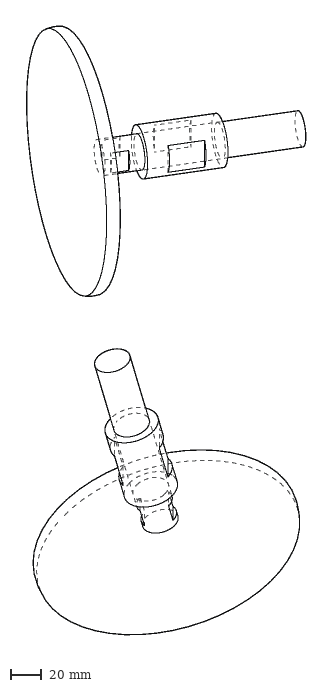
import cadquery as cq
import math


disc_radius = 89.0
underside_radius = 88.3
taper_height = 4.5
band_height = 7.1
rim_round = 2.8
cone_top = 22.6

spindle_diameter = 24.0
spindle_end = 160.0
spindle_flat_start = 27.0
spindle_flat_length = 12.5
spindle_across_flats = 19.0

sleeve_diameter = 36.0
sleeve_start = 49.8
sleeve_length = 55.0
sleeve_flat_length = 25.0
sleeve_across_flats = 30.0
sleeve_flat_start = sleeve_start + (sleeve_length - sleeve_flat_length) / 2


def cylinder(diameter, start, length):
    """Cylinder around the Y axis, running from start towards +Y."""
    plane = cq.Plane(origin=(0, start, 0), xDir=(1, 0, 0), normal=(0, 1, 0))
    return cq.Workplane(plane).circle(diameter / 2).extrude(length)


def cut_wrench_flats(body, diameter, across_flats, start, length):
    """Cut two opposite flats, facing -X and +X, into a round body."""
    for side in (-1, 1):
        cutter = cq.Workplane("XY").box(diameter, length, 2 * diameter)
        center_x = side * (across_flats + diameter) / 2
        body = body.cut(cutter.translate((center_x, start + length / 2, 0)))
    return body


def make_foot():
    """Conical disc and spindle in one piece."""
    spindle_radius = spindle_diameter / 2
    cone_edge_radius = disc_radius - rim_round
    cone_edge_height = band_height + rim_round
    round_middle = (
        cone_edge_radius + rim_round * math.sin(math.pi / 4),
        band_height + rim_round * math.cos(math.pi / 4),
    )
    foot = (
        cq.Workplane("XY")
        .lineTo(underside_radius, 0)
        .lineTo(disc_radius, taper_height)
        .lineTo(disc_radius, band_height)
        .threePointArc(round_middle, (cone_edge_radius, cone_edge_height))
        .lineTo(spindle_radius, cone_top)
        .lineTo(spindle_radius, spindle_end)
        .lineTo(0, spindle_end)
        .close()
        .revolve(360, (0, 0, 0), (0, 1, 0))
    )
    return cut_wrench_flats(
        foot, spindle_diameter, spindle_across_flats, spindle_flat_start, spindle_flat_length
    )


def make_sleeve():
    """Round sleeve nut on the spindle, with its own wrench flats."""
    sleeve = cylinder(sleeve_diameter, sleeve_start, sleeve_length)
    sleeve = sleeve.cut(cylinder(spindle_diameter, sleeve_start, sleeve_length))
    return cut_wrench_flats(
        sleeve, sleeve_diameter, sleeve_across_flats, sleeve_flat_start, sleeve_flat_length
    )


foot = make_foot()
sleeve = make_sleeve()
result = cq.Compound.makeCompound([foot.solids().val(), sleeve.solids().val()])